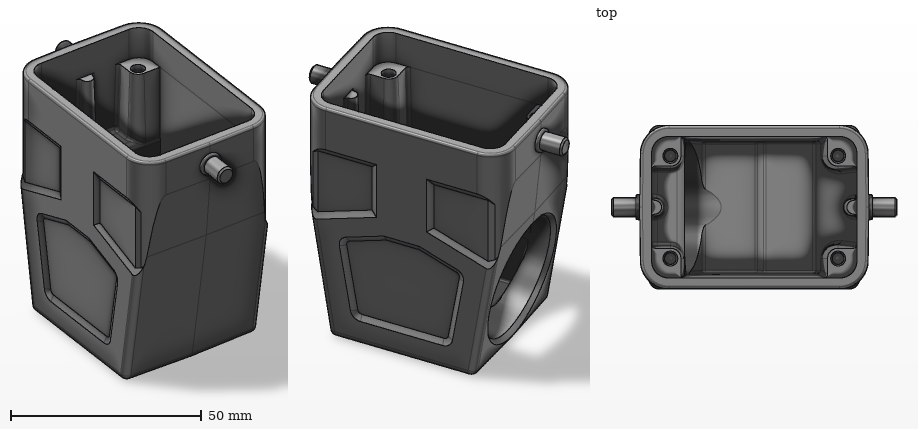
import cadquery as cq
import math

total_length = 75.0
depth = 43.0
height = 72.0
half_depth = depth / 2
draft = 0.8

rim_half_width = 30.15
upper_bend_z = 61.05
lower_bend_z = 42.3
lower_bend_half_width = 28.35
base_half_width = 21.7
upper_corner_radius = 7.5
lower_edge_radius = 1.95
rim_rounding = 0.75

upper_lean = (rim_half_width - lower_bend_half_width) / (upper_bend_z - lower_bend_z)
lower_lean = (lower_bend_half_width - base_half_width) / lower_bend_z
lower_lean_angle = math.degrees(math.atan(lower_lean))

recess_depth = 0.9
recess_wall_width = 1.7
recess_wall_angle = math.degrees(math.atan(recess_wall_width / recess_depth))
grip_inner_x = 7.4
grip_top_z = 59.0
grip_inner_bottom_z = 42.3
grip_slope = math.tan(math.radians(19.0))
grip_bevel_x = 25.3
grip_bevel_angle = 20.0
panel_top_z = 37.05
panel_top_half_width = 5.25
panel_shoulder_half_width = 18.8
panel_shoulder_z = panel_top_z - grip_slope * (panel_shoulder_half_width - panel_top_half_width)
panel_base_z = 7.8
panel_base_half_width = 14.7
panel_corner_radius = 3.0

mouth_half_width = 27.0
mouth_half_depth = 18.6
mouth_corner_radius = 4.5
boss_top_z = 62.55
cavity_draft = 1.3
right_wall_foot_x = 16.05
right_wall_lean = math.tan(math.radians(15.0))
high_floor_z = 6.6
low_floor_z = 4.6
floor_step_foot_x = 0.5
floor_step_top_x = 2.7
entry_wall_foot_x = -13.6
entry_wall_lean = math.tan(math.radians(16.0))
shelf_z = 42.0
shelf_edge_x = -18.3
shelf_edge_radius = 1.95
shelf_root_radius = 1.5
cavity_edge_radius = 0.75
cavity_root_radius = 1.0

boss_half_x = 19.3
boss_half_y = 10.8
boss_corner_radius = 2.7
boss_draft = 2.0
screw_x = 22.05
screw_y = 13.5
screw_mouth_diameter = 3.9
screw_depth = 12.0
screw_draft = 2.0
post_center_x = 26.2
post_top_radius = 1.8
post_draft = 2.0

entry_radius = 17.7
entry_mouth_radius = 18.9
entry_mouth_depth = 1.5
entry_length = 15.75
entry_z = 19.95

pin_z = 65.7
pin_radius = 2.55
pin_chamfer = 0.5
collar_radius = 3.3
collar_end_x = 31.05
collar_rounding = 0.4

margin = 7.5
pick_reach = 0.15
contact_tolerance = 0.001


def mirrored_in_y(half):
    return half.union(half.mirror("XZ"))


def mirrored_in_x(half):
    return half.union(half.mirror("YZ"))


def four_corners(body):
    return mirrored_in_y(mirrored_in_x(body))


def rim_prism():
    """Upright prism with the large corner radius; its end walls carry the mould draft."""
    corner_x = rim_half_width - half_depth * math.tan(math.radians(draft))
    outline = [
        (rim_half_width, 0), (corner_x, half_depth), (-corner_x, half_depth),
        (-rim_half_width, 0), (-corner_x, -half_depth), (corner_x, -half_depth),
    ]
    prism = cq.Workplane("XY").polyline(outline).close().extrude(height)
    corners = prism.edges("|Z").edges("<Y or >Y")
    return corners.fillet(upper_corner_radius).faces(">Z").edges().fillet(rim_rounding)


def leaning_block():
    """Block with leaning end walls and small edge rounding, taller than the shell."""
    top_z = height + margin
    top_half_width = rim_half_width + upper_lean * (top_z - upper_bend_z)
    outline = [
        (base_half_width, 0), (lower_bend_half_width, lower_bend_z), (top_half_width, top_z),
        (-top_half_width, top_z), (-lower_bend_half_width, lower_bend_z), (-base_half_width, 0),
    ]
    half = cq.Workplane("XZ").polyline(outline).close().extrude(half_depth, taper=draft)
    front_edges = half.faces("<Y").edges("not >Z")
    base_edges = half.faces("<Z").edges("<X or >X")
    return mirrored_in_y(front_edges.add(base_edges).fillet(lower_edge_radius))


def face_cutter(outline, cut_depth, corner_radius=0.0):
    """Body sunk into the front face; its walls lean inwards as it gets deeper."""
    front = cq.Sketch().polygon(outline + outline[:1])
    if corner_radius:
        front = front.vertices("<Y or <X or >X").fillet(corner_radius).reset()
    plane = cq.Workplane("XZ", origin=(0, -half_depth, 0))
    return plane.placeSketch(front).extrude(-cut_depth, taper=recess_wall_angle)


def ledge_z(distance):
    """Height of the sloping ledge on the front face at a distance from the middle."""
    return grip_inner_bottom_z - grip_slope * (distance - grip_inner_x)


def ledge_zone():
    """Left front zone above the ledge, where the large corner radius takes over."""
    far_x = total_length
    far_z = height + total_length
    outline = [(0, ledge_z(0)), (-far_x, ledge_z(far_x)), (-far_x, far_z), (0, far_z)]
    return face_cutter(outline, upper_corner_radius)


def grip_recess():
    """Left front recess: flat floor that bends back towards the rounded corner."""
    far_x = rim_half_width + margin
    outline = [
        (-grip_inner_x, grip_top_z), (-grip_inner_x, grip_inner_bottom_z),
        (-far_x, ledge_z(far_x)), (-far_x, grip_top_z),
    ]
    floor_y = -half_depth + recess_depth
    bevel_y = floor_y + (far_x - grip_bevel_x) * math.tan(math.radians(grip_bevel_angle))
    plan = [
        (0, -half_depth), (0, floor_y), (-grip_bevel_x, floor_y),
        (-far_x, bevel_y), (-far_x, -half_depth),
    ]
    above_floor = cq.Workplane("XY").polyline(plan).close().extrude(height)
    return face_cutter(outline, upper_corner_radius).intersect(above_floor)


def panel_recess():
    """Central recess of the front face, flat on top with sloping shoulders."""
    left = [
        (-panel_top_half_width, panel_top_z), (-panel_shoulder_half_width, panel_shoulder_z),
        (-panel_base_half_width, panel_base_z),
    ]
    right = [(-x, z) for x, z in reversed(left)]
    return face_cutter(left + right, recess_depth, panel_corner_radius)


def outer_shell():
    block = leaning_block()
    lower_slab = cq.Workplane("XY").box(
        2 * rim_half_width, depth, lower_bend_z, centered=(True, True, False)
    )
    lower_part = block.intersect(lower_slab)
    for zone in (ledge_zone(), ledge_zone().mirror("YZ")):
        lower_part = lower_part.cut(zone).cut(zone.mirror("XZ"))
    shell = block.intersect(rim_prism()).union(lower_part)
    grip = grip_recess()
    for recess in (grip, grip.mirror("YZ"), panel_recess()):
        shell = shell.cut(recess).cut(recess.mirror("XZ"))
    return shell


def corner_bosses():
    """Four screw bosses standing in the cavity corners, widening downwards."""
    size_x = mouth_half_width + margin - boss_half_x
    size_y = mouth_half_depth + margin - boss_half_y
    center = (boss_half_x + size_x / 2, boss_half_y + size_y / 2)
    top = cq.Sketch().rect(size_x, size_y).vertices("<X and <Y").fillet(boss_corner_radius)
    boss = cq.Workplane("XY", origin=(*center, boss_top_z)).placeSketch(top)
    return four_corners(boss.extrude(-boss_top_z, taper=-boss_draft))


def end_posts():
    """Half-round posts on the end walls below the locking pins, widening downwards."""
    top = cq.Workplane("XY", origin=(post_center_x, 0, boss_top_z)).circle(post_top_radius)
    return mirrored_in_x(top.extrude(-boss_top_z, taper=-post_draft))


def edges_along(x, z):
    """Selector for the edges that run along Y at the given X and Z."""
    return cq.selectors.BoxSelector(
        (x - pick_reach, -half_depth, z - pick_reach),
        (x + pick_reach, half_depth, z + pick_reach),
    )


def lies_on(body, vertex):
    return min(face.distance(vertex) for face in body.faces().vals()) < contact_tolerance


def foot_edges(space, walls, standing):
    """Edges of the space where a boss or post meets the right wall, left wall or shelf."""
    shelf_front_x = shelf_edge_x - shelf_edge_radius
    found = []
    for edge in space.edges().vals():
        middle = edge.positionAt(0.5)
        below_tops = middle.z < boss_top_z - pick_reach
        outside_entry = middle.x > 0 or middle.x < shelf_front_x
        if below_tops and outside_entry:
            vertex = cq.Vertex.makeVertex(*middle.toTuple())
            if lies_on(walls, vertex) and lies_on(standing, vertex):
                found.append(edge)
    return found


def cavity_mouth():
    """Straight opening between the rim and the boss tops."""
    opening = (
        cq.Workplane("XY", origin=(0, 0, boss_top_z))
        .rect(2 * mouth_half_width, 2 * mouth_half_depth)
        .extrude(height - boss_top_z)
    )
    return opening.edges("|Z").fillet(mouth_corner_radius)


def lower_cavity():
    """Space below the boss tops: leaning end walls, stepped floor and entry shelf."""
    right_bend_z = high_floor_z + (mouth_half_width - right_wall_foot_x) / right_wall_lean
    entry_bend_z = low_floor_z + (entry_wall_foot_x - shelf_edge_x) / entry_wall_lean
    profile = [
        (mouth_half_width, boss_top_z), (mouth_half_width, right_bend_z),
        (right_wall_foot_x, high_floor_z), (floor_step_top_x, high_floor_z),
        (floor_step_foot_x, low_floor_z), (entry_wall_foot_x, low_floor_z),
        (shelf_edge_x, entry_bend_z), (shelf_edge_x, shelf_z),
        (-mouth_half_width, shelf_z), (-mouth_half_width, boss_top_z),
    ]
    foot_half_depth = mouth_half_depth - boss_top_z * math.tan(math.radians(cavity_draft))
    section = [
        (mouth_half_depth, boss_top_z), (foot_half_depth, 0),
        (-foot_half_depth, 0), (-mouth_half_depth, boss_top_z),
    ]
    long_body = cq.Workplane("XZ").polyline(profile).close().extrude(half_depth, both=True)
    cross_body = cq.Workplane("YZ").polyline(section).close().extrude(total_length, both=True)
    lower = long_body.intersect(cross_body)
    rounded_corners = [
        (shelf_edge_x, shelf_z, shelf_edge_radius),
        (-mouth_half_width, shelf_z, shelf_root_radius),
        (right_wall_foot_x, high_floor_z, cavity_root_radius),
        (entry_wall_foot_x, low_floor_z, cavity_root_radius),
        (floor_step_foot_x, low_floor_z, cavity_root_radius),
        (floor_step_top_x, high_floor_z, cavity_root_radius),
    ]
    for x, z, radius in rounded_corners:
        lower = lower.edges(edges_along(x, z)).fillet(radius)
    return lower


def cavity():
    """Open space inside, with the bosses and posts left standing."""
    walls = lower_cavity()
    standing = corner_bosses().union(end_posts())
    space = walls.cut(standing)
    space = space.newObject(foot_edges(space, walls, standing)).fillet(cavity_root_radius)
    floor_sides = cq.selectors.BoxSelector(
        (entry_wall_foot_x + pick_reach, -half_depth, 0),
        (right_wall_foot_x - pick_reach, half_depth, high_floor_z + pick_reach),
    )
    space = space.edges(floor_sides).edges("not |Y").fillet(cavity_edge_radius)
    return cavity_mouth().union(space)


def cable_entry():
    """Round entry square to the leaning left wall, with a bevelled mouth."""
    outer_x = -base_half_width - lower_lean * entry_z
    axis = cq.Vector(math.cos(math.radians(lower_lean_angle)), 0,
                     math.sin(math.radians(lower_lean_angle)))
    wall = cq.Plane(origin=(outer_x, 0, entry_z), xDir=(0, 1, 0), normal=axis)
    bore = cq.Workplane(wall).circle(entry_radius).extrude(entry_length)
    mouth_cone = cq.Solid.makeCone(
        entry_mouth_radius, entry_radius, entry_mouth_depth, wall.origin, axis
    )
    return bore.union(cq.Workplane(mouth_cone))


def screw_holes():
    mouth = cq.Workplane("XY", origin=(screw_x, screw_y, boss_top_z)).circle(screw_mouth_diameter / 2)
    return four_corners(mouth.extrude(-screw_depth, taper=screw_draft))


def locking_pins():
    root_x = (mouth_half_width + rim_half_width) / 2
    root = cq.Workplane("YZ", origin=(root_x, 0, pin_z))
    pin = root.circle(pin_radius).extrude(total_length / 2 - root_x)
    pin = pin.faces(">X").chamfer(pin_chamfer)
    collar = root.circle(collar_radius).extrude(collar_end_x - root_x)
    collar = collar.faces(">X").edges().fillet(collar_rounding)
    return mirrored_in_x(pin.union(collar))


result = (
    outer_shell()
    .cut(cavity())
    .cut(cable_entry())
    .cut(screw_holes())
    .union(locking_pins())
)